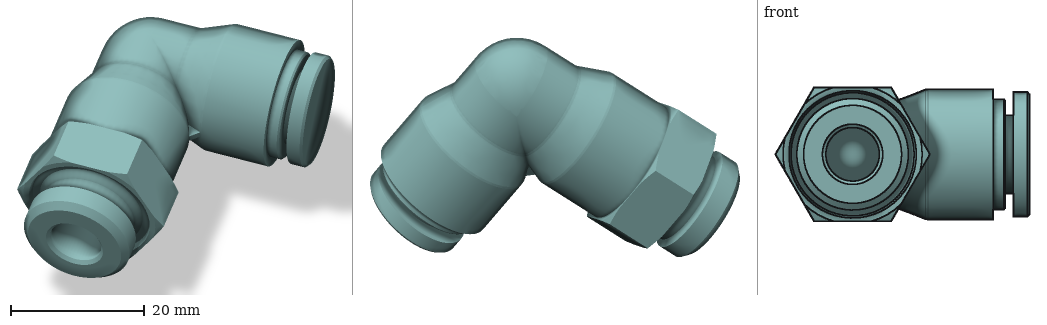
import cadquery as cq
import math


corner_radius = 15.6 / 2
sleeve_radius = 19.5 / 2
cone_start = 5.95
cone_end = 11.03
cone_blend = 1.05
arm_length = 21.0
web_thickness = 1.0

ring_radius = 16.5 / 2
ring_length = 1.85
ring_chamfer = 0.27

button_neck_radius = 11.7 / 2
button_neck_length = 1.2
button_height = 18.6
button_width = 16.0
button_chamfer = 0.35
button_end = 26.45

hex_across_flats = 20.0
hex_end = 29.05
hex_face_radius = 10.4
hex_chamfer_length = 0.5
recess_mouth_radius = 9.5
recess_floor_radius = 9.2
recess_depth = 0.9
neck_radius = 14.6 / 2
neck_flare_end = 29.4
neck_flare = 0.8
thread_radius = 16.65 / 2
thread_lead_in_start = 31.5
thread_start = 32.02
stem_end = 36.0
thread_chamfer = 1.0
bore_radius = 8.0 / 2
bore_chamfer = 0.5


def revolve_about_x(points):
    """Solid of revolution about X from (distance, radius) points."""
    return cq.Workplane("XY").polyline(points).close().revolve(360, (0, 0, 0), (1, 0, 0))


def turn_to_minus_y(body):
    """Swing a body built along +X so that it runs along -Y."""
    return body.rotate((0, 0, 0), (0, 0, 1), -90)


def make_arm():
    arm = revolve_about_x([
        (0, 0),
        (0, corner_radius),
        (cone_start, corner_radius),
        (cone_end, sleeve_radius),
        (arm_length, sleeve_radius),
        (arm_length, 0),
    ])
    end_edges = "<X or >X"
    return arm.edges("%CIRCLE").edges(f"not ({end_edges})").fillet(cone_blend)


def make_elbow():
    arm = make_arm()
    web = (
        cq.Workplane("XY")
        .polyline([
            (corner_radius, -corner_radius),
            (cone_end, -sleeve_radius),
            (sleeve_radius, -cone_end),
        ])
        .close()
        .extrude(web_thickness / 2, both=True)
    )
    ball = cq.Workplane("XY").sphere(corner_radius)
    return arm.union(turn_to_minus_y(arm)).union(ball).union(web)


def make_clamp_ring():
    return (
        cq.Workplane("YZ", origin=(arm_length, 0, 0))
        .circle(ring_radius)
        .extrude(ring_length)
        .faces(">X")
        .chamfer(ring_chamfer)
    )


def make_release_button():
    neck_start = arm_length + ring_length
    flange_start = neck_start + button_neck_length
    neck = (
        cq.Workplane("YZ", origin=(neck_start, 0, 0))
        .circle(button_neck_radius)
        .extrude(button_neck_length)
    )
    flange = (
        cq.Workplane("YZ", origin=(flange_start, 0, 0))
        .ellipse(button_width / 2, button_height / 2)
        .extrude(button_end - flange_start)
        .faces(">X")
        .chamfer(button_chamfer)
    )
    return neck.union(flange)


def make_hex():
    """Hexagon with chamfered corners and a shallow recess around the neck."""
    corner = hex_across_flats / math.sqrt(3)
    prism = (
        cq.Workplane("YZ", origin=(arm_length, 0, 0))
        .polygon(6, 2 * corner)
        .extrude(hex_end - arm_length)
    )
    chamfer_envelope = revolve_about_x([
        (arm_length, 0),
        (arm_length, hex_face_radius),
        (arm_length + hex_chamfer_length, corner),
        (hex_end - hex_chamfer_length, corner),
        (hex_end, hex_face_radius),
        (hex_end, 0),
    ])
    recess = revolve_about_x([
        (hex_end, 0),
        (hex_end, recess_mouth_radius),
        (hex_end - recess_depth, recess_floor_radius),
        (hex_end - recess_depth, 0),
    ])
    return prism.intersect(chamfer_envelope).cut(recess)


def make_stem():
    recess_floor = hex_end - recess_depth
    spigot = revolve_about_x([
        (recess_floor, 0),
        (recess_floor, neck_radius + neck_flare),
        (neck_flare_end, neck_radius),
        (thread_lead_in_start, neck_radius),
        (thread_start, thread_radius),
        (stem_end - thread_chamfer, thread_radius),
        (stem_end, thread_radius - thread_chamfer),
        (stem_end, 0),
    ])
    bore = revolve_about_x([
        (arm_length, 0),
        (arm_length, bore_radius),
        (stem_end - bore_chamfer, bore_radius),
        (stem_end, bore_radius + bore_chamfer),
        (stem_end, 0),
    ])
    return turn_to_minus_y(make_hex().union(spigot).cut(bore))


elbow = make_elbow()
clamp_ring = make_clamp_ring()
release_button = make_release_button()
stem = make_stem()

result = cq.Compound.makeCompound([
    elbow.val(),
    clamp_ring.val(),
    release_button.val(),
    stem.val(),
])